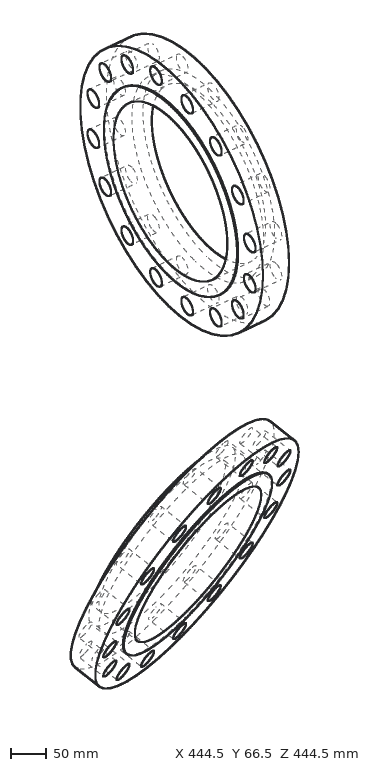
import cadquery as cq

FLANGE_DIAMETER = 444.5
TOTAL_THICKNESS = 66.5
BORE_DIAMETER = 276.5

FACE_DIAMETER = 324.0
FACE_HEIGHT = 2.0
HUB_DIAMETER = 320.5
HUB_HEIGHT = 19.0
FLANGE_THICKNESS = TOTAL_THICKNESS - FACE_HEIGHT - HUB_HEIGHT

BOLT_COUNT = 16
BOLT_HOLE_DIAMETER = 28.5
BOLT_CIRCLE_DIAMETER = 387.5
FIRST_BOLT_ANGLE = 360 / BOLT_COUNT / 2


def disc(diameter, start_y, thickness):
    """Solid disc around the Y axis, extending toward +Y from start_y."""
    plane = cq.Workplane("XZ", origin=(0, start_y, 0))
    return plane.circle(diameter / 2).extrude(-thickness)


def bolt_holes():
    """Ring of cylinders that cut the bolt holes through the flange."""
    return (
        cq.Workplane("XZ")
        .polarArray(BOLT_CIRCLE_DIAMETER / 2, FIRST_BOLT_ANGLE, 360, BOLT_COUNT)
        .circle(BOLT_HOLE_DIAMETER / 2)
        .extrude(-TOTAL_THICKNESS)
    )


raised_face = disc(FACE_DIAMETER, 0, FACE_HEIGHT)
flange = disc(FLANGE_DIAMETER, FACE_HEIGHT, FLANGE_THICKNESS)
hub = disc(HUB_DIAMETER, FACE_HEIGHT + FLANGE_THICKNESS, HUB_HEIGHT)
bore = disc(BORE_DIAMETER, 0, TOTAL_THICKNESS)

result = flange.union(raised_face).union(hub).cut(bore).cut(bolt_holes())